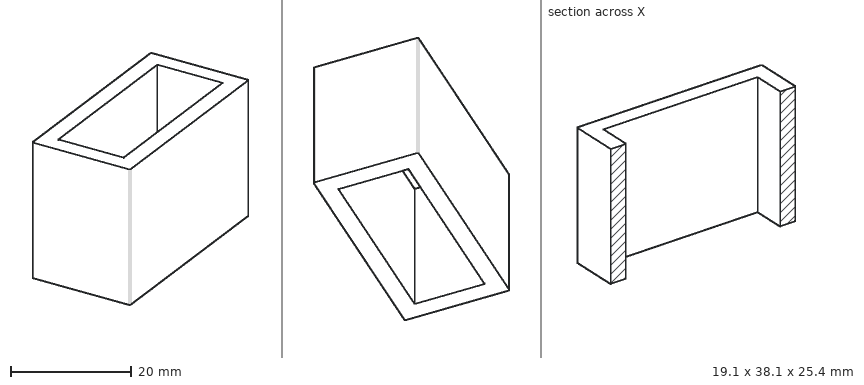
import cadquery as cq

width = 19.05
length = 38.1
height = 25.4
wall = 3.175
corner_radius = 0.254


def outer_block():
    """Solid block with lightly rounded vertical edges."""
    block = cq.Workplane("XY").rect(width, length).extrude(height)
    return block.edges("|Z").fillet(corner_radius)


def through_opening():
    """Sharp-cornered rectangular opening that leaves an even wall all round."""
    return cq.Workplane("XY").rect(width - 2 * wall, length - 2 * wall).extrude(height)


result = outer_block().cut(through_opening())